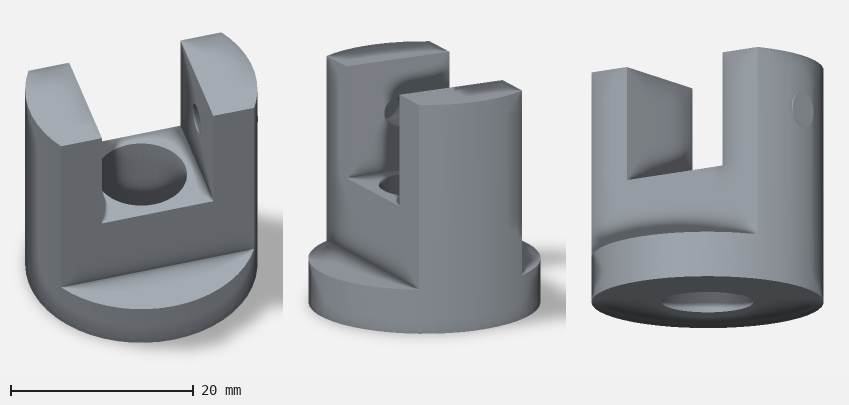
import cadquery as cq

height = 26.0
diameter = 25.4
radius = diameter / 2
foot_height = 5.0
fork_width = 12.7
slot_width = 12.7
slot_depth = 12.7
bore_diameter = 10.0

cross_hole_height = 20.0
cross_hole_diameter = 3.3
plug_diameter = 4.0
arm_thickness = radius - slot_width / 2
plug_length = arm_thickness / 2


def cylinder_along_y(cylinder_diameter, length):
    """Cylinder on the cross hole axis, ending at the outermost point of the +Y arm."""
    return (
        cq.Workplane("XZ", origin=(0, radius, cross_hole_height))
        .circle(cylinder_diameter / 2)
        .extrude(length)
    )


def make_yoke():
    foot = cq.Workplane("XY").circle(radius).extrude(foot_height)
    fork_flats = cq.Workplane("XY").rect(fork_width, diameter).extrude(height)
    fork = cq.Workplane("XY").circle(radius).extrude(height).intersect(fork_flats)
    slot = (
        cq.Workplane("XY", origin=(0, 0, height - slot_depth))
        .rect(diameter, slot_width)
        .extrude(slot_depth)
    )
    bore = cq.Workplane("XY").circle(bore_diameter / 2).extrude(height)
    cross_hole = cylinder_along_y(cross_hole_diameter, arm_thickness)
    plug_seat = cylinder_along_y(plug_diameter, plug_length)
    return foot.union(fork).cut(slot).cut(bore).cut(cross_hole).cut(plug_seat)


def make_plug():
    """Flat-ended plug whose outer face is tangent to the round side of the yoke."""
    return cylinder_along_y(plug_diameter, plug_length)


yoke = make_yoke()
plug = make_plug()

result = cq.Compound.makeCompound([yoke.solids().val(), plug.val()])